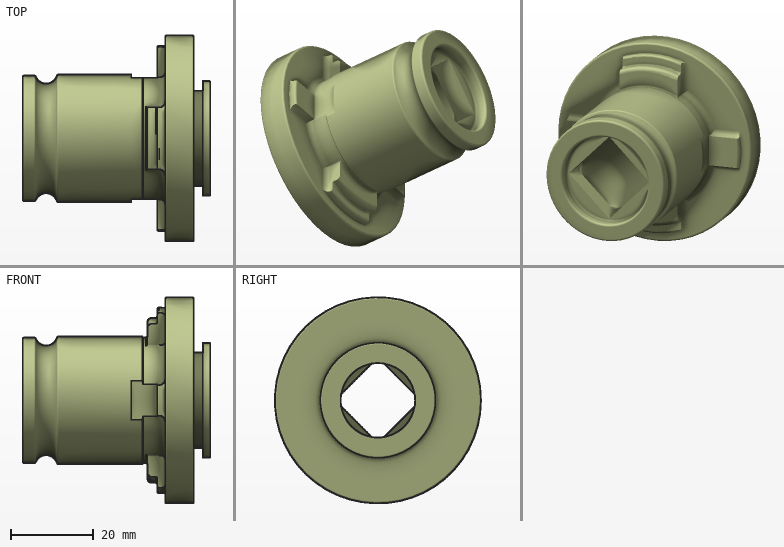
import cadquery as cq
import math

groove_centre = 5.7
flat_start = 26.35
body_end = 28.95
pad_face = 30.25
tab_face = 32.6
flange_face = 34.5
flange_back = 41.5
collar_face = 43.7
total_length = 45.5

land_radius = 30.5 / 2
body_radius = 31.0 / 2
neck_radius = 30.5 / 2
flange_radius = 50.0 / 2
spigot_radius = 23.2 / 2
collar_radius = 27.9 / 2
groove_floor_radius = 13.3
groove_arc_radius = 2.75

edge_round = 0.5
groove_edge_round = 0.45
root_fillet = 1.4
collar_round = 0.4

tab_radius = 45.0 / 2
pad_radius = 40.0 / 2
wide_tab_width = 15.0
narrow_tab_width = 7.4
pad_round = 1.0
pad_root_fillet = 0.4
flat_offset = 14.75

mouth_radius = 22.1 / 2
mouth_round = 0.55
mouth_depth = 3.0
mouth_floor_radius = 21.0 / 2
square_size = 14.7
square_length = 5.0
bore_radius = 18.0 / 2

pick_tolerance = 0.005


def disc(start, end, radius):
    """Solid cylinder about the X axis."""
    return cq.Workplane("YZ", origin=(start, 0, 0)).circle(radius).extrude(end - start)


def slab(start, end, width):
    """Slab of the given Y width, spanning the whole flange in Z."""
    return cq.Workplane("YZ", origin=(start, 0, 0)).rect(width, 2 * flange_radius).extrude(end - start)


def turned(profile):
    """Close an outline of (X, radius) points and revolve it about the X axis."""
    return profile.close().revolve(360, (0, 0, 0), (1, 0, 0))


def rotated(solid, angle):
    """Turn a solid about the X axis."""
    return solid.rotate((0, 0, 0), (1, 0, 0), angle)


def near(value, target):
    return abs(value - target) < pick_tolerance


def make_barrel():
    """Front land, rounded groove and body, stepping down to the neck."""
    groove_axis_radius = groove_floor_radius + groove_arc_radius

    def groove_half_width(radius):
        return math.sqrt(groove_arc_radius**2 - (groove_axis_radius - radius) ** 2)

    land_end = groove_centre - groove_half_width(land_radius)
    body_start = groove_centre + groove_half_width(body_radius)
    barrel = turned(
        cq.Workplane("XY")
        .lineTo(0, land_radius)
        .lineTo(land_end, land_radius)
        .threePointArc((groove_centre, groove_floor_radius), (body_start, body_radius))
        .lineTo(body_end, body_radius)
        .lineTo(body_end + body_radius - neck_radius, neck_radius)
        .lineTo(flange_face - root_fillet, neck_radius)
        .radiusArc((flange_face, neck_radius + root_fillet), -root_fillet)
        .lineTo(flange_face, 0)
    )
    groove_edges = [
        edge
        for edge in barrel.edges("%CIRCLE").vals()
        if near(edge.Center().x, land_end) or near(edge.Center().x, body_start)
    ]
    barrel = barrel.newObject(groove_edges).fillet(groove_edge_round)
    return barrel.faces("<X").edges().fillet(edge_round)


def cut_side_flats(barrel):
    """Flats on the +Y and -Y sides of the barrel, running up to the narrow tabs."""
    outside = disc(flat_start, tab_face, flange_radius).cut(slab(flat_start, tab_face, 2 * flat_offset))
    return barrel.cut(outside)


def make_pad_pair():
    """Two opposite pads rising from the wide tabs, filleted where they meet the tab face."""
    pads = turned(
        cq.Workplane("XY")
        .moveTo(pad_face, 0)
        .lineTo(pad_face, pad_radius - pad_round)
        .radiusArc((pad_face + pad_round, pad_radius), pad_round)
        .lineTo(tab_face - pad_root_fillet, pad_radius)
        .radiusArc((tab_face, pad_radius + pad_root_fillet), -pad_root_fillet)
        .lineTo(flange_face, pad_radius + pad_root_fillet)
        .lineTo(flange_face, 0)
    )
    return pads.intersect(slab(pad_face, flange_face, wide_tab_width))


def join_pads(barrel):
    """Add the pads to the barrel and fillet their front and side edges against the neck."""
    body = barrel.union(make_pad_pair())
    half_width = wide_tab_width / 2
    side_height = math.sqrt(neck_radius**2 - half_width**2)
    front_edges = [
        edge
        for edge in body.edges("%CIRCLE").vals()
        if near(edge.Center().x, pad_face) and near(edge.radius(), neck_radius)
    ]
    side_edges = [
        edge
        for edge in body.edges("|X").vals()
        if near(abs(edge.Center().y), half_width) and near(abs(edge.Center().z), side_height)
    ]
    return body.newObject(front_edges + side_edges).fillet(pad_root_fillet)


def make_tab_pair(width):
    """Two opposite low tabs, along Z, whose sides flare into the flange."""
    half_width = width / 2
    flared_bar = (
        cq.Workplane("XY", origin=(0, 0, -flange_radius))
        .moveTo(tab_face, -half_width)
        .lineTo(flange_face - root_fillet, -half_width)
        .radiusArc((flange_face, -half_width - root_fillet), root_fillet)
        .lineTo(flange_face, half_width + root_fillet)
        .radiusArc((flange_face - root_fillet, half_width), root_fillet)
        .lineTo(tab_face, half_width)
        .close()
        .extrude(2 * flange_radius)
    )
    rounded_disc = disc(tab_face, flange_face, tab_radius).faces("<X").edges().fillet(edge_round)
    return flared_bar.intersect(rounded_disc)


def make_flange():
    """Large flange with the spigot and collar behind it."""
    flange = disc(flange_face, flange_back, flange_radius).edges().fillet(edge_round)
    spigot = disc(flange_back, collar_face, spigot_radius)
    collar = disc(collar_face, total_length, collar_radius).faces(">X").edges().fillet(collar_round)
    return flange.union(spigot).union(collar)


def make_bore():
    """Rounded mouth, square socket set on its corner, then the round through bore."""
    socket_end = mouth_depth + square_length
    floor_fillet = mouth_radius - mouth_floor_radius
    mouth = turned(
        cq.Workplane("XY")
        .lineTo(0, mouth_radius + mouth_round)
        .radiusArc((mouth_round, mouth_radius), -mouth_round)
        .lineTo(mouth_depth - floor_fillet, mouth_radius)
        .radiusArc((mouth_depth, mouth_floor_radius), floor_fillet)
        .lineTo(mouth_depth, 0)
    )
    square = cq.Workplane("YZ", origin=(mouth_depth, 0, 0)).rect(square_size, square_size)
    socket = rotated(square.extrude(square_length), 45)
    return mouth.union(socket).union(disc(socket_end, total_length, bore_radius))


wide_tabs = make_tab_pair(wide_tab_width)
narrow_tabs = rotated(make_tab_pair(narrow_tab_width), 90)

body = join_pads(cut_side_flats(make_barrel()))
result = body.union(wide_tabs).union(narrow_tabs).union(make_flange()).cut(make_bore())